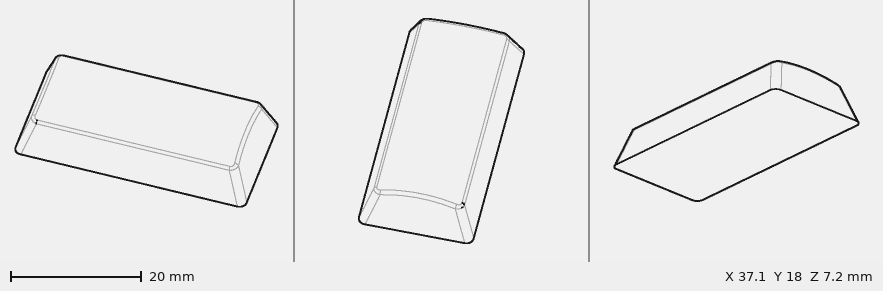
import cadquery as cq
import math

length = 37.05
width = 18.0
height = 7.2

side_draft = 18.0
crown_radius = 24.82
corner_radius = 1.22
rim_radius = 0.63


def tapered_block():
    """Solid frustum whose four walls lean inward by the draft angle."""
    inset = height * math.tan(math.radians(side_draft))
    return (
        cq.Workplane("XY")
        .rect(length, width)
        .workplane(offset=height)
        .rect(length - 2 * inset, width - 2 * inset)
        .loft(ruled=True)
    )


def crown_cylinder():
    """Cylinder along X whose upper surface is the domed top."""
    return (
        cq.Workplane("YZ", origin=(-length / 2, 0, height - crown_radius))
        .circle(crown_radius)
        .extrude(length)
    )


body = tapered_block().edges("not(|X or |Y)").fillet(corner_radius)
body = body.intersect(crown_cylinder())

result = body.faces(">Z").edges().fillet(rim_radius)